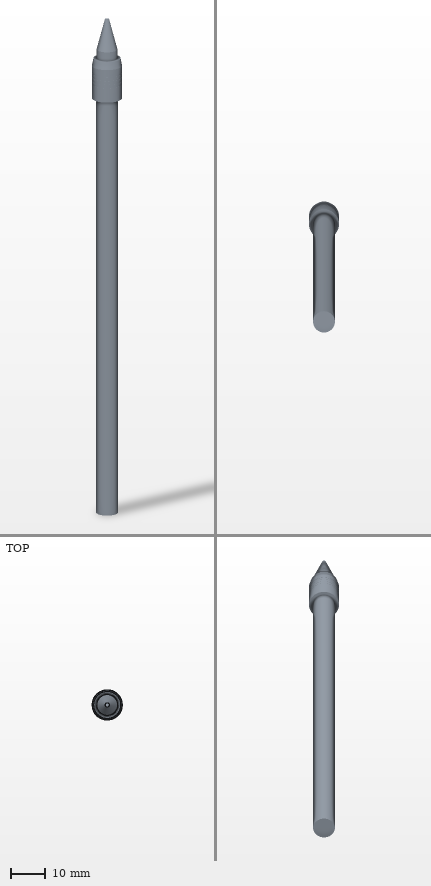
import cadquery as cq

total_length = 151.2
shaft_radius = 3.2
shaft_length = 127.0

collar_radius = 4.4
collar_length = 10.0
shoulder_top_radius = 4.0
shoulder_height = 2.3

neck_radius = 3.0
neck_length = 2.7
tip_end_radius = 0.6

groove_count = 4
groove_width = 0.55
groove_pitch = 2 * groove_width
groove_depth = 0.05
first_groove_height = 4.4

shoulder_base_z = shaft_length + collar_length
shoulder_top_z = shoulder_base_z + shoulder_height
tip_base_z = shoulder_top_z + neck_length


def turned_body():
    """Shaft, collar, shoulder, neck and tip as one profile turned about Z."""
    return (
        cq.Workplane("XZ")
        .moveTo(0, 0)
        .lineTo(shaft_radius, 0)
        .lineTo(shaft_radius, shaft_length)
        .lineTo(collar_radius, shaft_length)
        .lineTo(collar_radius, shoulder_base_z)
        .lineTo(shoulder_top_radius, shoulder_top_z)
        .lineTo(neck_radius, shoulder_top_z)
        .lineTo(neck_radius, tip_base_z)
        .lineTo(tip_end_radius, total_length)
        .lineTo(0, total_length)
        .close()
        .revolve(360, (0, 0), (0, 1))
    )


def groove_ring(bottom_z):
    """Square-sided ring that cuts one groove into the collar."""
    return (
        cq.Workplane("XY", origin=(0, 0, bottom_z))
        .circle(collar_radius + groove_depth)
        .circle(collar_radius - groove_depth)
        .extrude(groove_width)
    )


result = turned_body()
for index in range(groove_count):
    groove_z = shaft_length + first_groove_height + index * groove_pitch
    result = result.cut(groove_ring(groove_z))